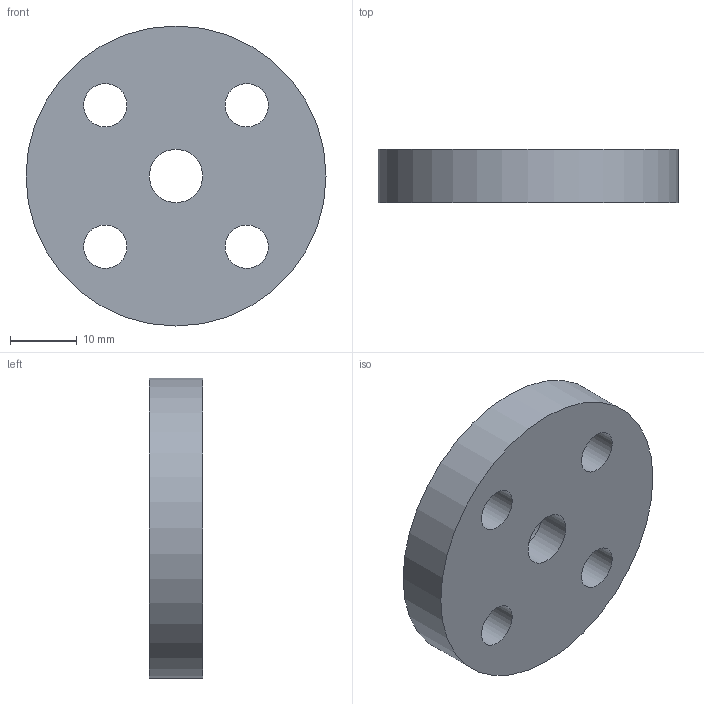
import cadquery as cq

disc_diameter = 45.0
disc_thickness = 8.0
bore_diameter = 8.0
counterbore_diameter = 12.0
counterbore_depth = 3.0
bolt_hole_diameter = 6.5
bolt_circle_diameter = 30.0
bolt_hole_count = 4
first_bolt_angle = 45.0
full_turn = 360.0


def cylinder_along_y(diameter, start_y, end_y):
    """Solid cylinder centred on the Y axis between two Y positions."""
    return (
        cq.Workplane("XZ", origin=(0, start_y, 0))
        .circle(diameter / 2)
        .extrude(start_y - end_y)
    )


def make_disc():
    """Flat round disc with its front face at Y = 0."""
    return cylinder_along_y(disc_diameter, 0, disc_thickness)


def make_stepped_bore():
    """Cutter for the central through bore, counterbored from the back face (+Y)."""
    bore = cylinder_along_y(bore_diameter, 0, disc_thickness)
    counterbore = cylinder_along_y(
        counterbore_diameter, disc_thickness - counterbore_depth, disc_thickness
    )
    return bore.union(counterbore)


def make_bolt_holes():
    """Cutters for the through holes evenly spaced on the bolt circle."""
    return (
        cq.Workplane("XZ")
        .polarArray(bolt_circle_diameter / 2, first_bolt_angle, full_turn, bolt_hole_count)
        .circle(bolt_hole_diameter / 2)
        .extrude(-disc_thickness)
    )


result = make_disc().cut(make_stepped_bore()).cut(make_bolt_holes())